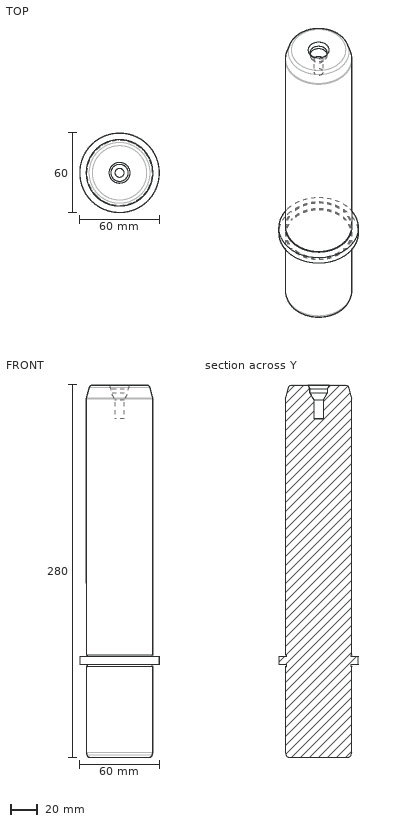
import cadquery as cq
import math

length = 280.0
body_diameter = 50.0
body_radius = body_diameter / 2

collar_radius = 30.0
collar_bottom = 70.0
collar_top = 76.2
lower_groove_width = 1.7
upper_groove_width = 0.8
groove_depth = 0.5

taper_slope = math.tan(math.radians(15))
lead_length = 10.0
tail_length = 4.0
rim_fillet = 2.5
lead_blend = 3.5

edge_margin = 0.3

mouth_radius = 7.8
bore_radius = 6.5
pilot_radius = 3.5
mouth_depth = 3.0
bore_depth = 6.0
cone_depth = 11.2
pilot_depth = 25.2


def revolve_profile(points):
    """Revolve a closed (radius, height) outline around the Z axis."""
    return cq.Workplane("XZ").polyline(points).close().revolve(360, (0, 0), (0, 1))


def edge_at(height):
    """Select the circular body edge at a given height."""
    reach = body_radius + edge_margin
    return cq.selectors.BoxSelector(
        (-reach, -reach, height - edge_margin),
        (reach, reach, height + edge_margin),
        boundingbox=True,
    )


def make_pin():
    groove_radius = body_radius - groove_depth
    groove_bottom = collar_bottom - lower_groove_width
    groove_top = collar_top + upper_groove_width
    pin = revolve_profile([
        (0, 0),
        (body_radius - tail_length * taper_slope, 0),
        (body_radius, tail_length),
        (body_radius, groove_bottom),
        (groove_radius, groove_bottom),
        (groove_radius, collar_bottom),
        (collar_radius, collar_bottom),
        (collar_radius, collar_top),
        (groove_radius, collar_top),
        (groove_radius, groove_top),
        (body_radius, groove_top),
        (body_radius, length - lead_length),
        (body_radius - lead_length * taper_slope, length),
        (0, length),
    ])
    pin = pin.faces("<Z or >Z").edges().fillet(rim_fillet)
    return pin.edges(edge_at(length - lead_length)).fillet(lead_blend)


def make_centre_hole():
    return revolve_profile([
        (0, length),
        (mouth_radius, length),
        (bore_radius, length - mouth_depth),
        (bore_radius, length - bore_depth),
        (pilot_radius, length - cone_depth),
        (pilot_radius, length - pilot_depth),
        (0, length - pilot_depth),
    ])


result = make_pin().cut(make_centre_hole())